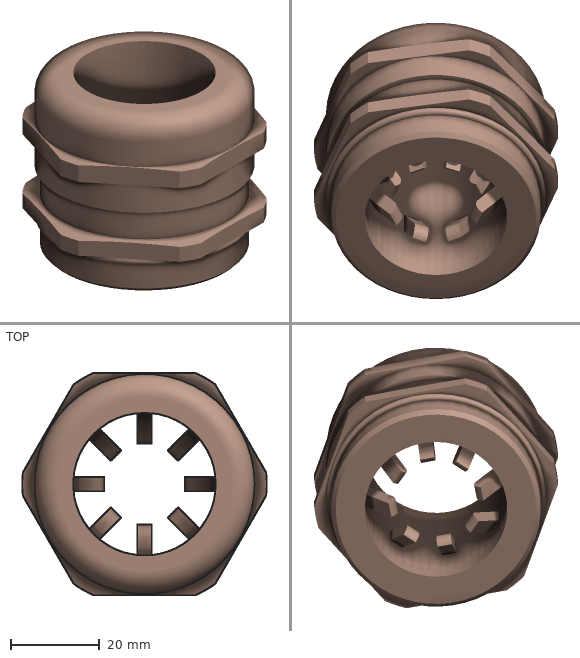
import cadquery as cq
import math

HEXAGON_SIDES = 6
ACROSS_FLATS = 50.0
COLLAR_CORNER_RADIUS = 27.5
COLLAR_TOP_SLOPE = 8.0

BORE_RADIUS = 16.0
BODY_DIAMETER = 47.0
BODY_RADIUS = BODY_DIAMETER / 2
CAP_RADIUS = 24.75
CAP_ROUNDING = 5.0
BOTTOM_CHAMFER = 1.0
TOTAL_HEIGHT = 43.5
CAP_BOTTOM = 20.5
LOWER_COLLAR_BOTTOM = 9.0
LOWER_COLLAR_TOP = 13.3
UPPER_COLLAR_BOTTOM = 27.5
UPPER_COLLAR_TOP = 32.0

SEAL_SECTION_RADIUS = 1.0
SEAL_OUTER_RADIUS = 24.65

FINGER_COUNT = 8
FINGER_WIDTH = 3.3
FINGER_THICKNESS = 3.0
FINGER_SLOPE = 60.0
FINGER_TIP_RADIUS = 9.0
FINGER_TOP = CAP_BOTTOM
FINGER_ROOT_DEPTH = 1.65


def make_body():
    """Chamfered sleeve with a wider, rounded cap on top, not yet bored."""
    sleeve = cq.Workplane("XY").circle(BODY_RADIUS).extrude(CAP_BOTTOM)
    sleeve = sleeve.faces("<Z").chamfer(BOTTOM_CHAMFER)
    cap = cq.Workplane("XY").workplane(offset=CAP_BOTTOM).circle(CAP_RADIUS)
    cap = cap.extrude(TOTAL_HEIGHT - CAP_BOTTOM)
    cap = cap.faces(">Z").edges().fillet(CAP_ROUNDING)
    return sleeve.union(cap)


def make_collar(bottom, top, hub_radius):
    """Hexagon with turned-off corners and a conical top that rises to `top` at the hub."""
    corner_drop = (COLLAR_CORNER_RADIUS - hub_radius) * math.tan(math.radians(COLLAR_TOP_SLOPE))
    hexagon_diameter = ACROSS_FLATS / math.cos(math.pi / HEXAGON_SIDES)
    hexagon = cq.Workplane("XY").workplane(offset=bottom).polygon(HEXAGON_SIDES, hexagon_diameter)
    hexagon = hexagon.extrude(top - bottom)
    turned_blank = (
        cq.Workplane("XZ")
        .moveTo(0, bottom)
        .lineTo(COLLAR_CORNER_RADIUS, bottom)
        .lineTo(COLLAR_CORNER_RADIUS, top - corner_drop)
        .lineTo(hub_radius, top)
        .lineTo(0, top)
        .close()
        .revolve(360, (0, 0, 0), (0, 1, 0))
    )
    return hexagon.intersect(turned_blank)


def make_seal():
    """Ring around the body with a half-round outer side."""
    center_radius = SEAL_OUTER_RADIUS - SEAL_SECTION_RADIUS
    seal_bottom = LOWER_COLLAR_BOTTOM - 2 * SEAL_SECTION_RADIUS
    return (
        cq.Workplane("XZ")
        .moveTo(BORE_RADIUS, seal_bottom)
        .lineTo(center_radius, seal_bottom)
        .threePointArc(
            (SEAL_OUTER_RADIUS, seal_bottom + SEAL_SECTION_RADIUS),
            (center_radius, LOWER_COLLAR_BOTTOM),
        )
        .lineTo(BORE_RADIUS, LOWER_COLLAR_BOTTOM)
        .close()
        .revolve(360, (0, 0, 0), (0, 1, 0))
    )


def make_finger():
    """Finger on the +X side: a sloping bar whose tip is a quarter round on its upper side."""
    slope = math.radians(FINGER_SLOPE)

    def upper_face_height(radius):
        return FINGER_TOP + (radius - BORE_RADIUS) * math.tan(slope)

    def on_tip(angle):
        """Point of the tip round, `angle` above the inward horizontal."""
        return (
            tip_center[0] - FINGER_THICKNESS * math.cos(angle),
            tip_center[1] + FINGER_THICKNESS * math.sin(angle),
        )

    face_angle = math.pi / 2 - slope
    tip_center_radius = FINGER_TIP_RADIUS + FINGER_THICKNESS
    vertical_thickness = FINGER_THICKNESS / math.cos(slope)
    tip_center = (tip_center_radius, upper_face_height(tip_center_radius) - vertical_thickness)
    root_radius = BORE_RADIUS + FINGER_ROOT_DEPTH
    root_top = upper_face_height(root_radius)
    return (
        cq.Workplane("XZ")
        .moveTo(root_radius, root_top)
        .lineTo(*on_tip(face_angle))
        .threePointArc(on_tip(face_angle - math.pi / 4), on_tip(face_angle - math.pi / 2))
        .lineTo(root_radius, root_top - vertical_thickness)
        .close()
        .extrude(FINGER_WIDTH / 2, both=True)
    )


lower_collar = make_collar(LOWER_COLLAR_BOTTOM, LOWER_COLLAR_TOP, BODY_RADIUS)
upper_collar = make_collar(UPPER_COLLAR_BOTTOM, UPPER_COLLAR_TOP, CAP_RADIUS)
bore = cq.Workplane("XY").circle(BORE_RADIUS).extrude(TOTAL_HEIGHT)

gland = make_body().union(lower_collar).union(upper_collar).union(make_seal()).cut(bore)

finger = make_finger()
for index in range(FINGER_COUNT):
    angle = index * 360 / FINGER_COUNT
    gland = gland.union(finger.rotate((0, 0, 0), (0, 0, 1), angle))

result = gland.solids()